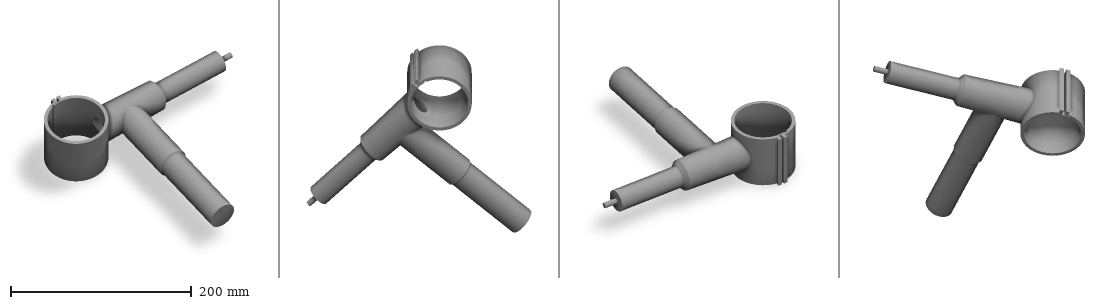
import cadquery as cq

ring_height = 63.0
ring_bore_radius = 31.8
ring_wall = 4.0
ring_radius = ring_bore_radius + ring_wall

split_half_gap = 1.5
split_corner_radius = 1.0
lug_reach = 40.0
lug_tip_inset = 0.7
lug_face_top = 4.2
lug_tip_height = 6.5
lug_root_height = 4.0
tongue_radius = 33.0
recess_radius = 33.5
tongue_end_y = -8.4
recess_end_y = -10.8

socket_root_y = 29.8
socket_root_radius = 20.2
socket_shoulder_y = 108.5
socket_shoulder_radius = 18.0
tube_radius = 12.5
socket_end_y = socket_shoulder_y + socket_shoulder_radius - tube_radius
tube_end_y = 194.8
pin_radius = 3.2
pin_length = 15.8
socket_bore_radius = 10.3
socket_bore_end_y = 46.8

side_arm_y = 65.5
side_socket_radius = 17.5
side_tube_radius = 15.8
side_chamfer = side_socket_radius - side_tube_radius
side_socket_end_x = 93.5
side_tube_end_x = 186.6


def bottom_plane():
    return cq.Workplane("XY", origin=(0, 0, -ring_height / 2))


def cylinder_z(radius):
    return bottom_plane().circle(radius).extrude(ring_height)


def slot_region(y_low, y_high):
    """Block on the -X side of the ring between two Y levels."""
    return (
        bottom_plane()
        .center(-lug_reach / 2, (y_low + y_high) / 2)
        .rect(lug_reach, y_high - y_low)
        .extrude(ring_height)
    )


def lug():
    """Hooked lug above the split."""
    return (
        bottom_plane()
        .moveTo(-recess_radius, split_half_gap)
        .lineTo(-lug_reach, split_half_gap)
        .lineTo(-lug_reach, lug_face_top)
        .lineTo(-lug_reach + lug_tip_inset, lug_tip_height)
        .lineTo(-recess_radius, lug_root_height)
        .close()
        .extrude(ring_height)
    )


def main_arm():
    """Solid of revolution about Y, starting inside the ring."""
    return (
        cq.Workplane("XY")
        .moveTo(0, socket_root_y)
        .lineTo(socket_root_radius, socket_root_y)
        .lineTo(socket_shoulder_radius, socket_shoulder_y)
        .lineTo(tube_radius, socket_end_y)
        .lineTo(tube_radius, tube_end_y)
        .lineTo(pin_radius, tube_end_y)
        .lineTo(pin_radius, tube_end_y + pin_length)
        .lineTo(0, tube_end_y + pin_length)
        .close()
        .revolve(360, (0, 0, 0), (0, 1, 0))
    )


def side_arm():
    plane = cq.Workplane("YZ").center(side_arm_y, 0)
    socket = plane.circle(side_socket_radius).extrude(side_socket_end_x)
    socket = socket.faces(">X").chamfer(side_chamfer)
    return socket.union(plane.circle(side_tube_radius).extrude(side_tube_end_x))


def cut_split(body):
    """Open the ring, leaving the tongue inside a recess of the lower jaw."""
    outer_gap = slot_region(-split_half_gap, split_half_gap).cut(cylinder_z(tongue_radius))
    inner_corner = cq.selectors.BoxSelector(
        (-tongue_radius - split_corner_radius, 0, -ring_height),
        (-tongue_radius + split_corner_radius, lug_tip_height, ring_height),
    )
    outer_gap = outer_gap.edges("|Z").edges(inner_corner).fillet(split_corner_radius)
    recess = slot_region(recess_end_y, -split_half_gap).intersect(cylinder_z(recess_radius))
    tongue = slot_region(tongue_end_y, -split_half_gap).intersect(cylinder_z(tongue_radius))
    return body.cut(outer_gap).cut(recess.cut(tongue))


ring = cylinder_z(ring_radius)
lower_lug = lug().mirror("XZ")
body = ring.union(lug()).union(lower_lug).union(main_arm()).union(side_arm())
body = body.cut(cylinder_z(ring_bore_radius))

socket_bore = cq.Workplane("XZ").circle(socket_bore_radius).extrude(-socket_bore_end_y)
body = body.cut(socket_bore)

result = cut_split(body)